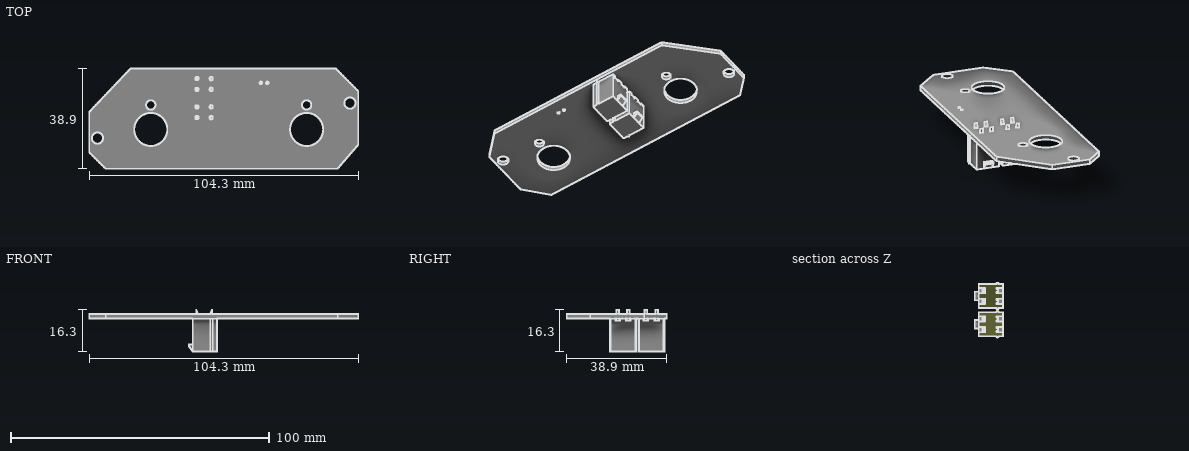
import cadquery as cq


board_length = 104.3
board_width = 38.9
board_thickness = 1.9
lower_left_cut = (6.4, 6.4)
lower_right_cut = (8.0, 9.3)
upper_right_cut = (8.8, 8.9)
upper_left_cut = (16.1, 16.9)

window_diameter = 12.7
window_xs = (23.9, 84.2)
window_y = 15.2
locating_diameter = 3.5
locating_y = 24.7
mount_diameter = 4.3
mount_centers = [(3.2, 11.9), (101.0, 25.4)]
lead_diameter = 0.9
lead_pitch = 2.5
lead_pair_center = (67.8, 33.3)

pin_hole_diameter = 1.4
pin_thickness = 0.71
pin_width = 1.1
pin_column_spacing = 5.5
pin_row_spacing = 4.2
pin_height = 1.7
pin_tip_z = board_thickness + pin_height

total_height = 16.3
housing_height = total_height - pin_tip_z
housing_length = 9.5
housing_width = 9.4
rib_diameter = 0.9
rib_distance = 7.3

notch_width = 2.0
notch_height = 0.7
notch_depth = 2.5

hook_width = 3.4
hook_reach = 1.6
hook_height = 2.8
hook_lip_height = 0.6

connector_x = 44.5
connector_ys = (21.9, 32.8)
housing_offset = 0.3

column_sides = (-1, 1)
pin_rows = (-pin_row_spacing / 2, pin_row_spacing / 2)
latch_face_x = housing_offset - housing_length / 2


def make_board():
    outline = [
        (lower_left_cut[0], 0),
        (board_length - lower_right_cut[0], 0),
        (board_length, lower_right_cut[1]),
        (board_length, board_width - upper_right_cut[1]),
        (board_length - upper_right_cut[0], board_width),
        (upper_left_cut[0], board_width),
        (0, board_width - upper_left_cut[1]),
        (0, lower_left_cut[1]),
    ]
    board = cq.Workplane("XY").polyline(outline).close().extrude(board_thickness)

    lead_x, lead_y = lead_pair_center
    pin_holes = [
        (connector_x + side * pin_column_spacing / 2, y + row)
        for y in connector_ys
        for side in column_sides
        for row in pin_rows
    ]
    hole_groups = [
        (window_diameter, [(x, window_y) for x in window_xs]),
        (locating_diameter, [(x, locating_y) for x in window_xs]),
        (mount_diameter, mount_centers),
        (lead_diameter, [(lead_x + side * lead_pitch / 2, lead_y) for side in (-1, 1)]),
        (pin_hole_diameter, pin_holes),
    ]
    for diameter, centers in hole_groups:
        holes = cq.Workplane("XY").pushPoints(centers).circle(diameter / 2).extrude(board_thickness)
        board = board.cut(holes)
    return board


def make_housing():
    """Solid block with a half-round upright rib on each Y side."""
    block = cq.Workplane("XY").box(housing_length, housing_width, housing_height)
    block = block.translate((housing_offset, 0, -housing_height / 2))
    rib_x = latch_face_x + rib_distance
    rib_centers = [(rib_x, side * housing_width / 2) for side in (-1, 1)]
    ribs = cq.Workplane("XY").pushPoints(rib_centers).circle(rib_diameter / 2).extrude(-housing_height)
    return block.union(ribs)


def make_hook():
    """Latch hook with a flat top, a short upright lip and a slope down to the foot."""
    profile = [
        (latch_face_x, -housing_height),
        (latch_face_x, hook_height - housing_height),
        (latch_face_x - hook_reach, hook_height - housing_height),
        (latch_face_x - hook_reach, hook_height - hook_lip_height - housing_height),
    ]
    return cq.Workplane("XZ").polyline(profile).close().extrude(hook_width / 2, both=True)


def make_notch(side, row):
    """Cutter open to the outer face of the housing and to its top."""
    face_x = housing_offset + side * housing_length / 2
    center_x = face_x - side * notch_depth / 2
    notch = cq.Workplane("XY").box(notch_depth, notch_width, notch_height)
    return notch.translate((center_x, row, -notch_height / 2))


def make_pin(side, row):
    """Flat pin standing on the notch floor, its tip sloped down towards the middle."""
    axis_x = side * pin_column_spacing / 2
    outer_x = axis_x + side * pin_thickness / 2
    inner_x = axis_x - side * pin_thickness / 2
    profile = [
        (outer_x, -notch_height),
        (outer_x, pin_tip_z),
        (inner_x, board_thickness),
        (inner_x, -notch_height),
    ]
    pin = cq.Workplane("XZ").polyline(profile).close().extrude(pin_width / 2, both=True)
    return pin.translate((0, row, 0))


def make_connector(y):
    connector = make_housing().union(make_hook())
    for side in column_sides:
        for row in pin_rows:
            connector = connector.cut(make_notch(side, row)).union(make_pin(side, row))
    return connector.translate((connector_x, y, 0))


board = make_board()
connectors = [make_connector(y) for y in connector_ys]

result = cq.Compound.makeCompound([board.val(), *[connector.val() for connector in connectors]])